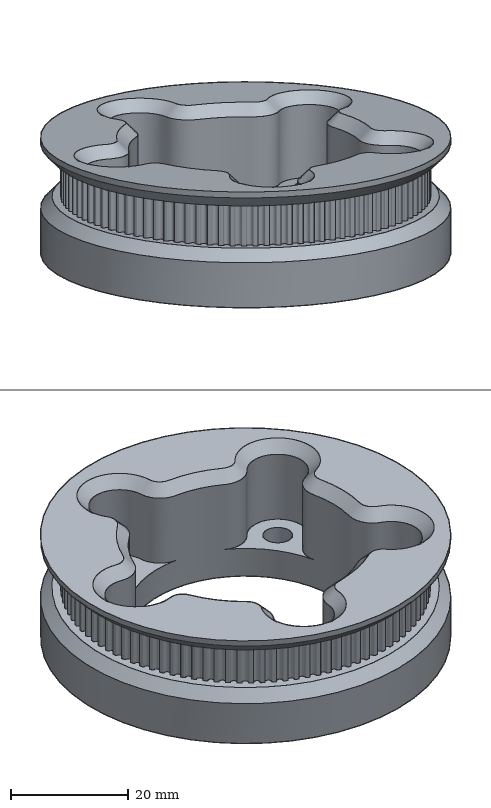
import cadquery as cq
import math

OUTER_RADIUS = 35.0
SHOULDER_RADIUS = 33.05
BASE_HEIGHT = 8.0
TRACK_BOTTOM = 10.0
TRACK_TOP = 17.5
FLANGE_EDGE_BOTTOM = 19.45
HEIGHT = 20.5

TOOTH_COUNT = 100
TOOTH_TIP_RADIUS = 31.6
GROOVE_RADIUS = 0.55
GROOVE_LIP_RADIUS = 0.175

BORE_RADIUS = 20.0
BOLT_COUNT = 5
BOLT_CIRCLE_RADIUS = 25.0
FIRST_BOLT_ANGLE = 36.0
BOLT_HOLE_DIAMETER = 5.05
POCKET_RADIUS = 5.25
POCKET_BLEND_RADIUS = 4.55
POCKET_FLOOR = 5.5
OPENING_CHAMFER = 2.0


def polar(radius, degrees):
    angle = math.radians(degrees)
    return (radius * math.cos(angle), radius * math.sin(angle))


def rim_body():
    """Solid of revolution with a plain belt track reaching the tooth tips."""
    return (
        cq.Workplane("XZ")
        .moveTo(0, 0)
        .lineTo(OUTER_RADIUS, 0)
        .lineTo(OUTER_RADIUS, BASE_HEIGHT)
        .lineTo(SHOULDER_RADIUS, TRACK_BOTTOM)
        .lineTo(TOOTH_TIP_RADIUS, TRACK_BOTTOM)
        .lineTo(TOOTH_TIP_RADIUS, TRACK_TOP)
        .lineTo(SHOULDER_RADIUS, TRACK_TOP)
        .lineTo(OUTER_RADIUS, FLANGE_EDGE_BOTTOM)
        .lineTo(OUTER_RADIUS, HEIGHT)
        .lineTo(0, HEIGHT)
        .close()
        .revolve(360, (0, 0), (0, 1))
    )


def groove_ring():
    """Space around the teeth: cutting it from the plain track leaves the toothed profile."""
    pitch_angle = 360 / TOOTH_COUNT
    mouth_half_width = GROOVE_RADIUS + GROOVE_LIP_RADIUS
    mouth_radius = math.sqrt(TOOTH_TIP_RADIUS**2 - mouth_half_width**2)
    lip_bend = GROOVE_LIP_RADIUS * (1 - math.sqrt(0.5))
    lip_middle_radius = mouth_radius - lip_bend
    lip_middle_offset = GROOVE_RADIUS + lip_bend
    bottom_center = mouth_radius - GROOVE_LIP_RADIUS
    floor_radius = bottom_center - GROOVE_RADIUS

    def at(groove_angle, radial, sideways):
        """Point given along and across the groove's centre line."""
        angle = math.radians(groove_angle)
        return (
            radial * math.cos(angle) - sideways * math.sin(angle),
            radial * math.sin(angle) + sideways * math.cos(angle),
        )

    profile = cq.Workplane("XY").workplane(offset=TRACK_BOTTOM)
    profile = profile.moveTo(*at(pitch_angle / 2, mouth_radius, -mouth_half_width))
    for index in range(TOOTH_COUNT):
        groove_angle = (index + 0.5) * pitch_angle
        next_groove_angle = groove_angle + pitch_angle
        profile = (
            profile.threePointArc(
                at(groove_angle, lip_middle_radius, -lip_middle_offset),
                at(groove_angle, bottom_center, -GROOVE_RADIUS),
            )
            .threePointArc(
                at(groove_angle, floor_radius, 0),
                at(groove_angle, bottom_center, GROOVE_RADIUS),
            )
            .threePointArc(
                at(groove_angle, lip_middle_radius, lip_middle_offset),
                at(groove_angle, mouth_radius, mouth_half_width),
            )
            .threePointArc(
                polar(TOOTH_TIP_RADIUS, groove_angle + pitch_angle / 2),
                at(next_groove_angle, mouth_radius, -mouth_half_width),
            )
        )
    track_height = TRACK_TOP - TRACK_BOTTOM
    toothed_core = profile.close().extrude(track_height)
    ring = (
        cq.Workplane("XY")
        .workplane(offset=TRACK_BOTTOM)
        .circle((TOOTH_TIP_RADIUS + SHOULDER_RADIUS) / 2)
        .extrude(track_height)
    )
    return ring.cut(toothed_core)


def bolt_points():
    step = 360 / BOLT_COUNT
    return [polar(BOLT_CIRCLE_RADIUS, FIRST_BOLT_ANGLE + i * step) for i in range(BOLT_COUNT)]


def pocket_opening():
    """Bore and bolt pockets above the pocket floor, with blended corners."""
    depth = HEIGHT - POCKET_FLOOR
    plane = cq.Workplane("XY").workplane(offset=POCKET_FLOOR)
    pockets = plane.pushPoints(bolt_points()).circle(POCKET_RADIUS).extrude(depth)
    opening = plane.circle(BORE_RADIUS).extrude(depth).union(pockets)
    return opening.edges("|Z").fillet(POCKET_BLEND_RADIUS)


body = rim_body().cut(pocket_opening())
opening_outline = body.faces(">Z").val().innerWires()[0]
body = body.newObject(opening_outline.Edges()).chamfer(OPENING_CHAMFER)

bore = cq.Workplane("XY").circle(BORE_RADIUS).extrude(HEIGHT)
bolt_holes = (
    cq.Workplane("XY").pushPoints(bolt_points()).circle(BOLT_HOLE_DIAMETER / 2).extrude(HEIGHT)
)

result = body.cut(bore).cut(bolt_holes).cut(groove_ring())